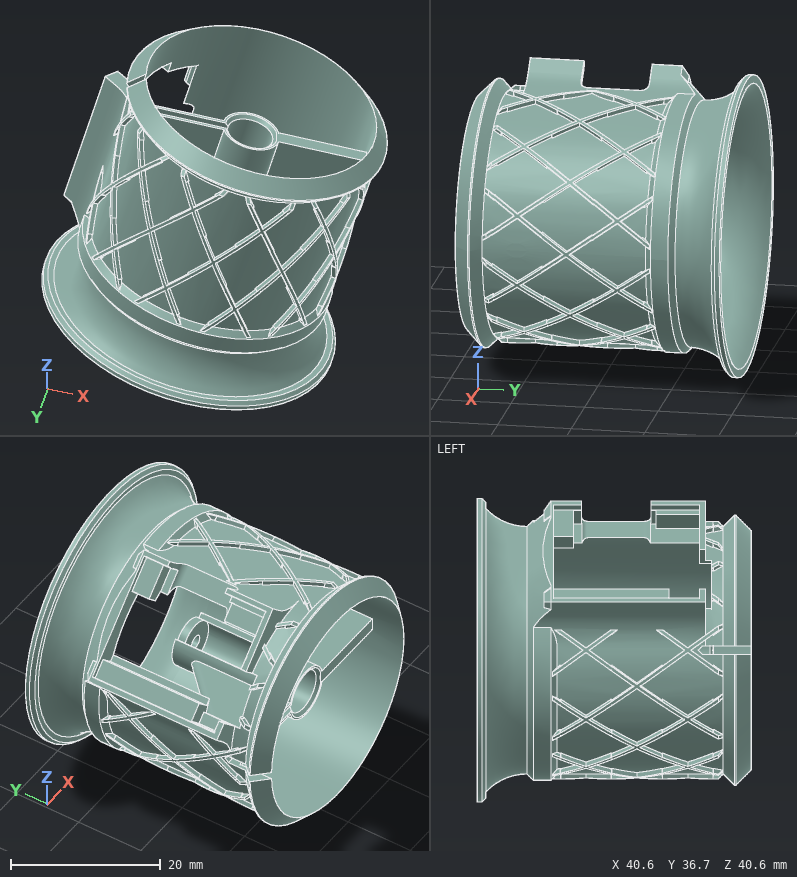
import cadquery as cq
import math

length = 36.65
bore_radius = 16.0
bore_end_radius = 19.15
barrel_radius = 16.55
rim_radius = 18.05
rim_land = 0.2
collar_radius = 17.397
collar_back = 29.15
collar_length = 2.35
flange_radius = 20.3
flange_thickness = 1.18
flange_chamfer = 0.53
flare_end_radius = 18.95

rim_front = rim_radius - bore_radius
rim_back = rim_front + rim_land
barrel_front = rim_back + rim_radius - barrel_radius
collar_step = collar_radius - barrel_radius
collar_front = collar_back - collar_length
flare_front = collar_back + collar_step
flange_front = length - flange_thickness

rib_count = 11
rib_radius = 17.2
rib_root_radius = 16.25
rib_width = 0.5
rib_overlap = 0.25
rib_first_row = 1.7
rib_crossing_step = 6.8
rib_rows = 5

pod_tilt = 45
pod_half_width = 9.6
pod_height = 18.68
pod_front = 6.15
pod_back = collar_front
pod_blend_radius = 6.3
corner_support_length = 0.95
corner_support_inner = 6.8
corner_support_bottom = 15.43

lid_half_width = 8.8
cavity_half_width = 8.73
cavity_front = 6.95
cavity_back = 26.47
cavity_floor = 15.15
ledge_height = 17.7
long_post_width = 2.6
long_post_front = 11.05
corner_post_width = 4.95
corner_post_length = 2.7
slim_post_width = 0.8
slim_post_length = 5.8
side_notch_front = 13.45
side_notch_back = 22.7
side_notch_floor = 14.45
side_notch_fillet = 1.05
side_notch_inner = 4.05
port_left = -7.1
port_width = 7.5
port_front = 5.35

hub_radius = 3.918
hub_bore_radius = 3.13
hub_front = 5.08
hub_back = 24.0
hub_floor_thickness = 1.18
hub_chamfer = 0.5
hub_hole_radius = 0.995
hub_opening_offset = 0.53
spoke_thickness = 2.0
spoke_left_back = 24.75
spoke_right_back = 26.4
channel_width = 1.15
channel_back = 6.55
channel_inner = 2.05

reach = 24.35


def turned(points):
    """Solid of revolution around Y from (radius, y) corner points."""
    return cq.Workplane("XY").polyline(points).close().revolve(360, (0, 0, 0), (0, 1, 0))


def ring(radius, y_start, y_end):
    """Cylinder around Y."""
    return turned([(0, y_start), (radius, y_start), (radius, y_end), (0, y_end)])


def block(x_start, x_end, y_start, y_end, z_start, z_end):
    """Box between two corners."""
    size = (x_end - x_start, y_end - y_start, z_end - z_start)
    return cq.Workplane("XY").box(*size, centered=False).translate((x_start, y_start, z_start))


def tilted(solid):
    """Turn a solid from the upright pod frame to its place on the barrel."""
    return solid.rotate((0, 0, 0), (0, 1, 0), -pod_tilt)


def flare_middle(start_radius, end_radius, y_end):
    """Middle point of an arc that leaves the flare's front parallel to the axis."""
    run = y_end - flare_front
    rise = end_radius - start_radius
    arc_radius = (run**2 + rise**2) / (2 * rise)
    half_angle = math.asin(run / arc_radius) / 2
    return (
        start_radius + arc_radius * (1 - math.cos(half_angle)),
        flare_front + arc_radius * math.sin(half_angle),
    )


def make_barrel():
    """Outside of the barrel as a solid body."""
    return (
        cq.Workplane("XY")
        .moveTo(0, 0)
        .lineTo(bore_radius, 0)
        .lineTo(rim_radius, rim_front)
        .lineTo(rim_radius, rim_back)
        .lineTo(barrel_radius, barrel_front)
        .lineTo(barrel_radius, collar_front - collar_step)
        .lineTo(collar_radius, collar_front)
        .lineTo(collar_radius, collar_back)
        .lineTo(barrel_radius, flare_front)
        .threePointArc(
            flare_middle(barrel_radius, flare_end_radius, flange_front), (flare_end_radius, flange_front)
        )
        .lineTo(flange_radius - flange_chamfer, flange_front)
        .lineTo(flange_radius, flange_front + flange_chamfer)
        .lineTo(flange_radius, length)
        .lineTo(0, length)
        .close()
        .revolve(360, (0, 0, 0), (0, 1, 0))
    )


def make_bore():
    """Bore that widens like a bell towards the flange."""
    return (
        cq.Workplane("XY")
        .lineTo(bore_radius, 0)
        .lineTo(bore_radius, flare_front)
        .threePointArc(flare_middle(bore_radius, bore_end_radius, length), (bore_end_radius, length))
        .lineTo(0, length)
        .close()
        .revolve(360, (0, 0, 0), (0, 1, 0))
    )


def make_rib_crossing():
    """Two straight bars that cross at Y = 0 on the -X side; their ends meet the next row's bars."""
    run = 2 * rib_radius * math.sin(math.pi / rib_count / 2)
    length_to_join = math.hypot(run, rib_crossing_step) + rib_overlap
    bar = cq.Workplane("XY").box(rib_radius - rib_root_radius + 0.8, length_to_join, rib_width)
    bar = bar.translate((-(rib_radius + rib_root_radius) / 2, 0, 0))
    lean = math.degrees(math.atan2(run, rib_crossing_step))
    axis = ((0, 0, 0), (1, 0, 0))
    return bar.rotate(*axis, lean).union(bar.rotate(*axis, -lean))


def add_ribs(body):
    """Add rows of rib crossings, each row half a step round from the last, trimmed beside the rim."""
    envelope = turned([
        (rib_root_radius, barrel_front),
        (barrel_radius, barrel_front),
        (rib_radius, barrel_front + rib_radius - barrel_radius),
        (rib_radius, collar_front),
        (rib_root_radius, collar_front),
    ])
    crossing = make_rib_crossing()
    axis = (cq.Vector(0, 0, 0), cq.Vector(0, 1, 0))
    step = 360 / rib_count
    pieces = []
    for row in range(rib_rows):
        y = rib_first_row + row * rib_crossing_step
        trimmed = crossing.translate((0, y, 0)).intersect(envelope).val()
        row_shift = (row + 1) % 2 / 2
        pieces += [trimmed.rotate(*axis, (index + row_shift) * step) for index in range(rib_count)]
    return cq.Workplane(body.val().fuse(*pieces))


def make_pod():
    """Pod body, blended into the barrel and carried by a 45 degree cone at its back."""
    blend_x = pod_half_width + pod_blend_radius
    blend_distance = barrel_radius + pod_blend_radius
    blend_z = math.sqrt(blend_distance**2 - blend_x**2)
    foot_x = blend_x * barrel_radius / blend_distance
    foot_z = blend_z * barrel_radius / blend_distance
    middle_angle = math.pi + math.atan2(blend_z, blend_x) / 2
    middle_x = blend_x + pod_blend_radius * math.cos(middle_angle)
    middle_z = blend_z + pod_blend_radius * math.sin(middle_angle)
    prism = (
        cq.Workplane("XZ", origin=(0, pod_front, 0))
        .moveTo(-foot_x, foot_z)
        .threePointArc((-middle_x, middle_z), (-pod_half_width, blend_z))
        .lineTo(-pod_half_width, pod_height)
        .lineTo(pod_half_width, pod_height)
        .lineTo(pod_half_width, blend_z)
        .threePointArc((middle_x, middle_z), (foot_x, foot_z))
        .close()
        .extrude(pod_front - collar_back)
    )
    cone_radius = collar_radius + collar_back - pod_back
    envelope = ring(reach, pod_front, pod_back).union(
        turned([(0, pod_back), (cone_radius, pod_back), (collar_radius, collar_back), (0, collar_back)])
    )
    pod = prism.intersect(envelope)
    support = (
        block(
            corner_support_inner,
            pod_half_width,
            cavity_back,
            pod_back + corner_support_length,
            corner_support_bottom,
            pod_height,
        )
        .edges(">Y and (>X or >Z)")
        .chamfer(corner_support_length)
    )
    return pod.union(support).union(support.mirror("YZ"))


def make_pod_openings():
    """Everything hollow in the pod: cavity between the posts, side notch and front port."""
    wall = cavity_half_width
    lid_seat = block(-lid_half_width, lid_half_width, cavity_front, cavity_back, ledge_height, reach)
    cavity = block(-wall, wall, cavity_front, cavity_back, cavity_floor, reach)
    posts = [
        (-wall, -wall + long_post_width, long_post_front, cavity_back),
        (wall - corner_post_width, wall, cavity_back - corner_post_length, cavity_back),
        (wall - slim_post_width, wall, cavity_front, cavity_front + slim_post_length),
    ]
    for x_start, x_end, y_start, y_end in posts:
        cavity = cavity.cut(block(x_start, x_end, y_start, y_end, 0, ledge_height))
    notch = (
        block(side_notch_inner, reach, side_notch_front, side_notch_back, side_notch_floor, reach)
        .edges("|X and <Z")
        .fillet(side_notch_fillet)
    )
    port = block(port_left, port_left + port_width, port_front, long_post_front, 0, reach)
    return cavity.union(lid_seat).union(notch).union(port)


def make_hub():
    """Hub tube with a floor at its back and a side opening that leaves the floor disc whole."""
    floor_front = hub_back - hub_floor_thickness
    hub = turned([
        (hub_hole_radius, hub_back),
        (hub_hole_radius, floor_front),
        (hub_bore_radius, floor_front),
        (hub_bore_radius, hub_front + hub_chamfer),
        (hub_bore_radius + hub_chamfer, hub_front),
        (hub_radius, hub_front),
        (hub_radius, hub_back),
    ])
    opening = block(
        -hub_opening_offset, hub_radius, side_notch_front, hub_back, -hub_opening_offset, hub_radius
    )
    opening = tilted(opening).cut(ring(hub_bore_radius, side_notch_front, hub_back))
    return hub.cut(opening)


def make_spoke(side, back):
    """Spoke on one side of the hub; its back edge is fully rounded and slants at 45 degrees."""
    outer = bore_radius + 0.4
    inner = (hub_radius + hub_bore_radius) / 2
    round_radius = spoke_thickness / 2
    flat_back = back - round_radius * math.sqrt(2)
    web = (
        cq.Workplane("XY", origin=(0, 0, -round_radius))
        .polyline([
            (side * inner, hub_front),
            (side * outer, hub_front),
            (side * outer, flat_back - outer),
            (side * inner, flat_back - inner),
        ])
        .close()
        .extrude(spoke_thickness)
    )
    edge = cq.Solid.makeCylinder(
        round_radius, reach, cq.Vector(0, flat_back, 0), cq.Vector(side, -1, 0)
    )
    return web.union(cq.Workplane(edge))


def make_channel():
    """Wire channel through rim, left spoke and hub wall, with a V-shaped bottom."""
    half = channel_width / 2
    return (
        cq.Workplane("YZ", origin=(-channel_inner, 0, 0))
        .polyline([
            (-0.4, -half), (channel_back, -half), (channel_back + half, 0), (channel_back, half), (-0.4, half)
        ])
        .close()
        .extrude(channel_inner - reach)
    )


spokes = make_spoke(-1, spoke_left_back).union(make_spoke(1, spoke_right_back))
spokes = spokes.intersect(ring(barrel_radius, 0, flare_front)).cut(ring(hub_bore_radius, 0, length))

body = add_ribs(make_barrel()).union(tilted(make_pod()), clean=False)
body = body.cut(make_bore(), clean=False).cut(tilted(make_pod_openings()), clean=False)
body = body.union(spokes, clean=False).union(make_hub(), clean=False)
result = body.cut(make_channel(), clean=False)